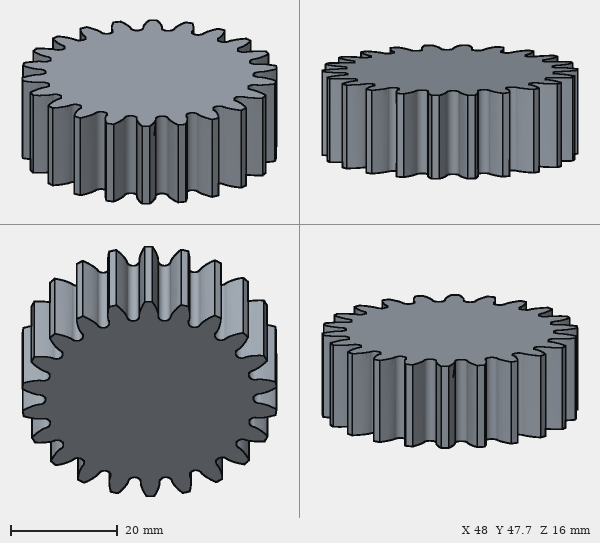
import cadquery as cq
import math

tip_diameter = 48.0
tooth_count = 22
face_width = 16.0
pressure_angle = math.radians(20)
root_depth_in_modules = 1.25
flank_points = 7

module = tip_diameter / (tooth_count + 2)
tip_radius = tip_diameter / 2
pitch_radius = module * tooth_count / 2
root_radius = pitch_radius - root_depth_in_modules * module
base_radius = pitch_radius * math.cos(pressure_angle)
tip_roll = math.sqrt((tip_radius / base_radius) ** 2 - 1)
tooth_pitch = 2 * math.pi / tooth_count


def polar(radius, angle):
    return (radius * math.cos(angle), radius * math.sin(angle))


def half_tooth_angle(radius):
    """Angle from the tooth centre line to the involute flank at a radius."""
    flank_angle = math.acos(base_radius / radius)
    involute_here = math.tan(flank_angle) - flank_angle
    involute_at_pitch = math.tan(pressure_angle) - pressure_angle
    return tooth_pitch / 4 + involute_at_pitch - involute_here


def flank(center_angle, side):
    """Points up one involute flank, from the base circle to the tip."""
    points = []
    for i in range(flank_points):
        roll = tip_roll * i / (flank_points - 1)
        radius = base_radius * math.hypot(1, roll)
        points.append(polar(radius, center_angle + side * half_tooth_angle(radius)))
    return points


def flank_direction(center_angle, side, roll):
    """Unit direction of the involute, pointing outward, at a roll angle."""
    return polar(1, center_angle + side * (half_tooth_angle(base_radius) - roll))


def inward(direction):
    """The opposite of an outward direction."""
    return (-direction[0], -direction[1])


def gear_outline():
    start = flank(0, -1)[0]
    outline = cq.Workplane("XY").moveTo(*start)
    for tooth in range(tooth_count):
        center = tooth * tooth_pitch
        rising = flank(center, -1)
        falling = flank(center, 1)[::-1]
        rising_ends = [flank_direction(center, -1, roll) for roll in (0, tip_roll)]
        falling_ends = [inward(flank_direction(center, 1, roll)) for roll in (tip_roll, 0)]
        outline = outline.spline(rising[1:], tangents=rising_ends, includeCurrent=True)
        outline = outline.threePointArc(polar(tip_radius, center), falling[0])
        outline = outline.spline(falling[1:], tangents=falling_ends, includeCurrent=True)

        gap_floor = polar(root_radius, center + tooth_pitch / 2)
        is_last = tooth == tooth_count - 1
        next_flank_start = start if is_last else flank(center + tooth_pitch, -1)[0]
        outline = outline.threePointArc(gap_floor, next_flank_start)
    return outline.close()


result = gear_outline().extrude(face_width)